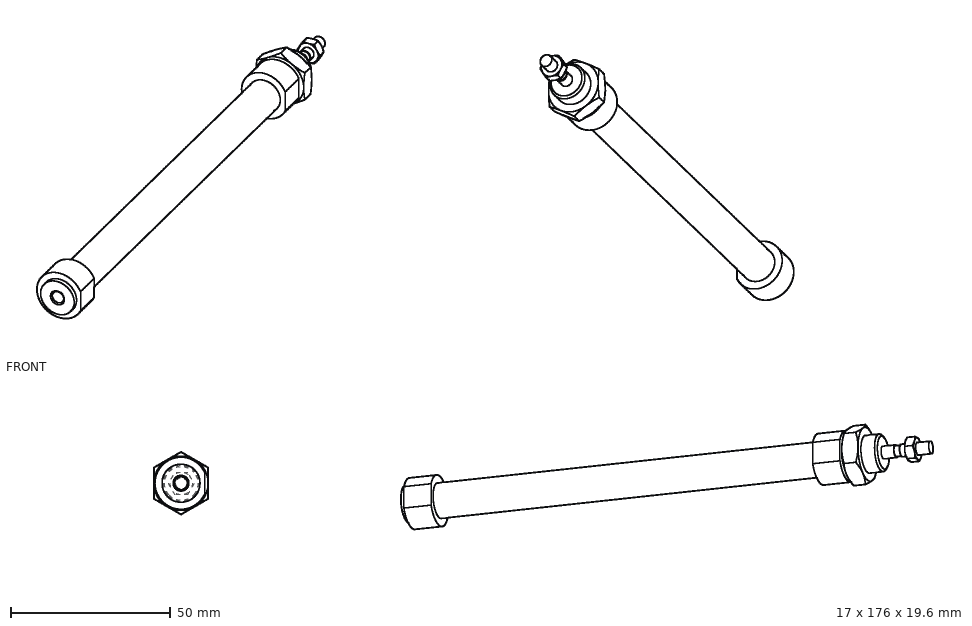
import cadquery as cq
import math

total_length = 176.0

tube_diameter = 11.3
cap_diameter = 16.4
cap_length = 9.2
cap_flat_offset = 7.4
thread_diameter = 12.0
thread_chamfer = 0.7
boss_length = 1.5
port_diameter = 4.0
port_mouth_diameter = 5.0
port_depth = 5.3
drill_point_angle = 118.0
nose_end = total_length - 16.0
front_cap_end = total_length - 27.8
front_cap_start = front_cap_end - cap_length
rear_cap_end = boss_length + cap_length

rod_diameter = 4.0
groove_diameter = 3.5
groove_start = total_length - 11.8
groove_length = 2.0

nut_chamfer_angle = 30.0
mount_nut_width = 17.0
mount_nut_thickness = 5.5
mount_nut_gap = 1.0
mount_nut_start = front_cap_end + mount_nut_gap
mount_nut_corner_angle = 30.0
rod_nut_width = 7.0
rod_nut_thickness = 3.2
rod_nut_start = total_length - 7.5
rod_nut_corner_angle = 0.0


def plane_at(y):
    """Workplane across the axis at y, with its normal along +Y."""
    return cq.Workplane(cq.Plane(origin=(0, y, 0), xDir=(1, 0, 0), normal=(0, 1, 0)))


def cylinder(diameter, start, end):
    return plane_at(start).circle(diameter / 2).extrude(end - start)


def make_cap(start):
    """Round end cap with one flat on its +X side."""
    cap = cylinder(cap_diameter, start, start + cap_length)
    keep_width = cap_flat_offset + cap_diameter / 2
    keep = cq.Workplane("XY").box(keep_width, cap_length, cap_diameter).translate(
        (cap_flat_offset - keep_width / 2, start + cap_length / 2, 0)
    )
    return cap.intersect(keep)


def make_port():
    """Blind hole in the rear face with a 45-degree mouth chamfer and a conical drill point."""
    radius = port_diameter / 2
    mouth_radius = port_mouth_diameter / 2
    point_length = radius / math.tan(math.radians(drill_point_angle / 2))
    return (
        cq.Workplane("XY")
        .polyline([
            (0, 0),
            (mouth_radius, 0),
            (radius, mouth_radius - radius),
            (radius, port_depth),
            (0, port_depth + point_length),
        ])
        .close()
        .revolve(360, (0, 0), (0, 1))
    )


def make_housing():
    boss = cylinder(thread_diameter, 0, boss_length)
    tube = cylinder(tube_diameter, rear_cap_end, front_cap_start)
    nose = cylinder(thread_diameter, front_cap_end, nose_end).faces(">Y").chamfer(thread_chamfer)
    body = boss.union(make_cap(boss_length)).union(tube)
    return body.union(make_cap(front_cap_start)).union(nose).cut(make_port())


def make_rod():
    """Rod standing on the nose face, with a shallow groove behind its thread."""
    rod = cylinder(rod_diameter, nose_end, total_length)
    groove = cylinder(rod_diameter, groove_start, groove_start + groove_length).cut(
        cylinder(groove_diameter, groove_start, groove_start + groove_length)
    )
    return rod.cut(groove)


def make_nut(width, bore, start, thickness, corner_angle):
    """Hexagon nut with its corners chamfered at both ends; corner_angle is measured from +X."""
    corner_diameter = width / math.cos(math.pi / 6)
    blank = (
        plane_at(start)
        .transformed(rotate=(0, 0, corner_angle))
        .polygon(6, corner_diameter)
        .extrude(thickness)
    )
    flat_radius = width / 2
    corner_radius = corner_diameter / 2
    cone_length = (corner_radius - flat_radius) * math.tan(math.radians(nut_chamfer_angle))
    end = start + thickness
    envelope = (
        cq.Workplane("XY")
        .polyline([
            (0, start),
            (flat_radius, start),
            (corner_radius, start + cone_length),
            (corner_radius, end - cone_length),
            (flat_radius, end),
            (0, end),
        ])
        .close()
        .revolve(360, (0, 0), (0, 1))
    )
    return blank.intersect(envelope).cut(cylinder(bore, start, end))


housing = make_housing()
rod = make_rod()
mount_nut = make_nut(
    mount_nut_width, thread_diameter, mount_nut_start, mount_nut_thickness, mount_nut_corner_angle
)
rod_nut = make_nut(rod_nut_width, rod_diameter, rod_nut_start, rod_nut_thickness, rod_nut_corner_angle)

result = cq.Compound.makeCompound([housing.val(), rod.val(), mount_nut.val(), rod_nut.val()])